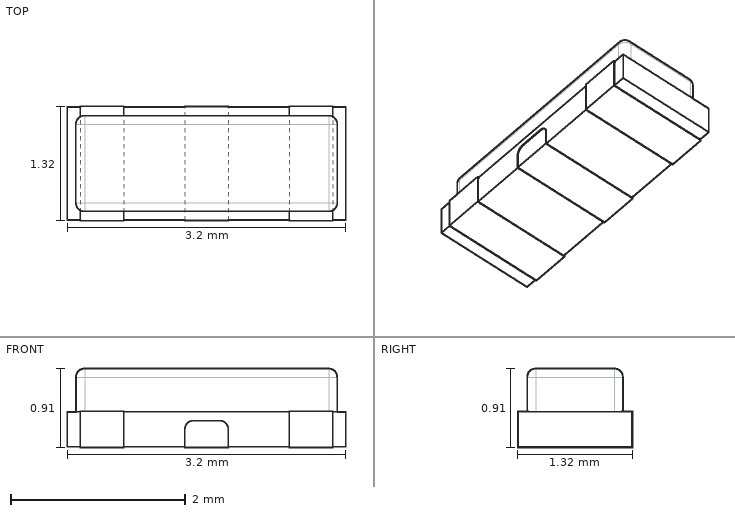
import cadquery as cq

base_length = 3.2
base_width = 1.3
base_height = 0.4

plating = 0.01
pad_length = 0.5
end_pad_inset = 0.15
middle_pad_height = 0.31
middle_pad_radius = 0.1

lid_length = 3.0
lid_width = 1.1
lid_height = 0.5
lid_radius = 0.1

plated_width = base_width + 2 * plating
plated_height = base_height + 2 * plating
end_pad_x = base_length / 2 - end_pad_inset - pad_length / 2


def make_base():
    """Plain block with its underside at Z = 0."""
    return cq.Workplane("XY").box(base_length, base_width, base_height, centered=(True, True, False))


def make_lid():
    """Block on the base, rounded on its upright and top edges."""
    return (
        cq.Workplane("XY", origin=(0, 0, base_height))
        .box(lid_length, lid_width, lid_height, centered=(True, True, False))
        .edges("|Z or >Z")
        .fillet(lid_radius)
    )


def make_end_pad(x):
    """Plating band that wraps all four sides of the base."""
    return cq.Workplane("XY", origin=(x, 0, -plating)).box(
        pad_length, plated_width, plated_height, centered=(True, True, False)
    )


def make_middle_pad():
    """Plating across the underside and part way up both long sides."""
    return (
        cq.Workplane("XY", origin=(0, 0, -plating))
        .box(pad_length, plated_width, middle_pad_height, centered=(True, True, False))
        .edges("|Y and >Z")
        .fillet(middle_pad_radius)
    )


result = make_base().union(make_lid()).union(make_middle_pad())
for x in (-end_pad_x, end_pad_x):
    result = result.union(make_end_pad(x))